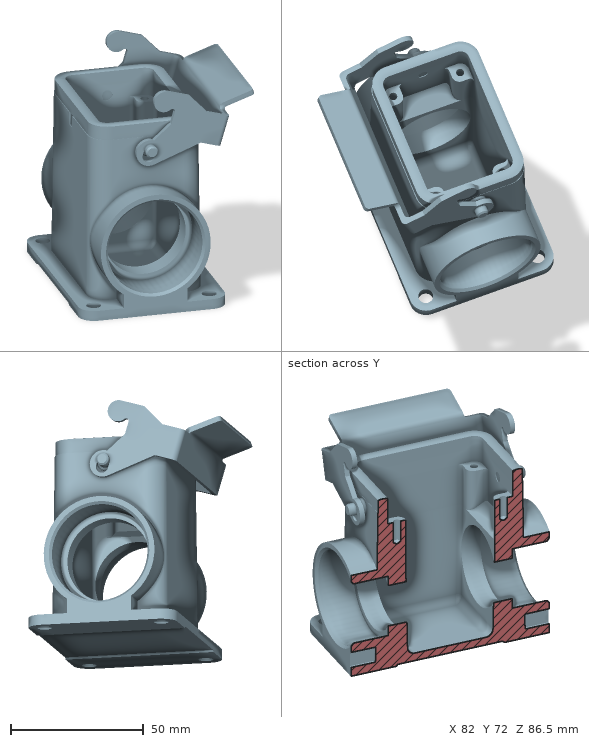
import cadquery as cq
import math

BASE_LENGTH = 82.0
BASE_WIDTH = 57.3
BASE_THICKNESS = 4.0
BASE_CORNER_RADIUS = 6.2
BASE_HOLE_DIAMETER = 5.6
BASE_HOLE_X = 35.0
BASE_HOLE_Y = 22.6
CHANNEL_DEPTH = 0.7
CHANNEL_HALF_LENGTH = 21.6

TOWER_BOTTOM_HALF_X = 31.0
TOWER_BOTTOM_HALF_Y = 22.2
TOWER_TOP_HALF_X = 29.9
TOWER_TOP_HALF_Y = 21.55
NECK_HALF_X = 29.85
NECK_HALF_Y = 21.3
NECK_Z = 67.9
RIM_TOP_Z = 73.6
RIM_CROWN_HEIGHT = 0.35
RIM_EDGE_Z = RIM_TOP_Z - RIM_CROWN_HEIGHT
OUTER_CORNER_RADIUS = 7.5
RIM_WALL = 4.1

KEY_WIDTH = 3.5
KEY_HEIGHT = 4.7
KEY_DEPTH = 1.0

MOUTH_HALF_X = NECK_HALF_X - RIM_WALL
MOUTH_HALF_Y = NECK_HALF_Y - RIM_WALL
MOUTH_DRAFT = 0.1
MOUTH_CORNER_RADIUS = OUTER_CORNER_RADIUS - RIM_WALL
FUNNEL_TOP_Z = 48.9
FUNNEL_BOTTOM_Z = 45.1
CAVITY_TOP_HALF_X = 18.35
CAVITY_BOTTOM_HALF_X = 17.5
CAVITY_BOTTOM_HALF_Y = 16.5
CAVITY_FLOOR_RADIUS = 2.9
CAVITY_FLOOR_Z = 4.15

POST_TOP_Z = 62.4
POST_INNER_Y = 9.95
POST_NOSE_RADIUS = 2.9
POST_ROOT_RADIUS = 1.5
POST_HOLE_DIAMETER = 3.0
POST_HOLE_DEPTH = 8.65
POST_HOLE_X = 22.0
POST_HOLE_Y = 13.5
DRILL_POINT_ANGLE = 118.0

COLLAR_Z = 26.9
COLLAR_DIAMETER = 42.9
COLLAR_MOUTH_DIAMETER = 38.9
COLLAR_SOCKET_DIAMETER = 37.0
COLLAR_BORE_DIAMETER = 32.0
COLLAR_CHAMFER_LENGTH = 1.0
WEB_HALF_WIDTH = 12.5

PIVOT_Z = 63.7
PIVOT_DIAMETER = 4.8
PIVOT_END_X = 36.4
PIVOT_CHAMFER = 0.6
BOSS_DIAMETER = 7.0
BOSS_END_X = 31.1
BOSS_CHAMFER = 0.4
DIMPLE_DIAMETER = 4.0
DIMPLE_DEPTH = 0.2

SHEET = 2.0
LATCH_TILT = 16.5
ARM_OUTER_X = 33.6
ARM_INNER_X = ARM_OUTER_X - SHEET
SLOT_LENGTH = 2.5
EYE_V = -SLOT_LENGTH / 2
EYE_RADIUS = 5.1
HOOK_V = 19.55
HOOK_RADIUS = 4.1
HOOK_TOP_V = HOOK_V + HOOK_RADIUS
HOOK_THROAT_U = 5.1
HOOK_THROAT_RADIUS = 1.0
THROAT_BOTTOM_V = 11.6
EYE_CORNER_V = 3.5
SHOULDER_LOW_U = 18.1
SHOULDER_HIGH_U = 9.35
HEEL_U = 18.6
PLATE_BOTTOM_V = 6.5
PLATE_TOP_V = 18.6
PLATE_OUTER_U = 27.1
PLATE_INNER_U = PLATE_OUTER_U - SHEET
LATCH_BEND_RADIUS = 1.9

TAB_HALF_WIDTH = 25.1
TAB_ANGLE = 35.2
TAB_ROOT_V = 20.4
TAB_LENGTH = 13.6
TAB_TIP_RADIUS = 1.5
TAB_BEND_INNER_RADIUS = 0.9
TAB_BEND_OUTER_RADIUS = 2.3
RELIEF_RADIUS = 1.65

SIDES = (-1, 1)


def rounded_block(half_x, half_y, radius, z_low, z_high):
    """Upright block with rounded vertical edges, centred on the Z axis."""
    block = cq.Workplane("XY", origin=(0, 0, z_low)).rect(2 * half_x, 2 * half_y).extrude(z_high - z_low)
    return block.edges("|Z").fillet(radius)


def taper(low, high, z_low, z_high):
    """Block that tapers between two rectangles, each given as (half X, half Y)."""
    size_x = 2 * low[0]
    size_y = 2 * low[1]
    inset_x = low[0] - high[0]
    inset_y = low[1] - high[1]
    wedge = cq.Solid.makeWedge(
        size_x, z_high - z_low, size_y, inset_x, inset_y, size_x - inset_x, size_y - inset_y
    )
    upright = cq.Workplane(wedge).rotate((0, 0, 0), (1, 0, 0), 90)
    return upright.translate((-low[0], low[1], z_low))


def rounded_taper(low, high, radius, z_low, z_high):
    """Tapered block with its four rising edges rounded."""
    return taper(low, high, z_low, z_high).edges("not #Z").fillet(radius)


def x_cylinder(diameter, x_start, x_end, z):
    """Cylinder along X."""
    return cq.Workplane("YZ", origin=(x_start, 0, z)).circle(diameter / 2).extrude(x_end - x_start)


def base_flange():
    base = rounded_block(BASE_LENGTH / 2, BASE_WIDTH / 2, BASE_CORNER_RADIUS, 0, BASE_THICKNESS)
    holes = cq.Workplane("XY").rect(2 * BASE_HOLE_X, 2 * BASE_HOLE_Y, forConstruction=True).vertices()
    return base.cut(holes.circle(BASE_HOLE_DIAMETER / 2).extrude(BASE_THICKNESS))


def base_channel():
    """Shallow channel with bevelled sides, running along Y under the base."""
    mouth = CHANNEL_HALF_LENGTH + CHANNEL_DEPTH
    outline = [
        (-mouth, 0),
        (-CHANNEL_HALF_LENGTH, CHANNEL_DEPTH),
        (CHANNEL_HALF_LENGTH, CHANNEL_DEPTH),
        (mouth, 0),
    ]
    return cq.Workplane("XZ").polyline(outline).close().extrude(BASE_WIDTH / 2, both=True)


def tower():
    low = (TOWER_BOTTOM_HALF_X, TOWER_BOTTOM_HALF_Y)
    high = (TOWER_TOP_HALF_X, TOWER_TOP_HALF_Y)
    body = rounded_taper(low, high, OUTER_CORNER_RADIUS, BASE_THICKNESS, NECK_Z)
    neck = rounded_block(NECK_HALF_X, NECK_HALF_Y, OUTER_CORNER_RADIUS, NECK_Z, RIM_EDGE_Z)
    return body.union(neck)


def rim_crown():
    """Low rounded crown that runs around the top of the neck wall."""
    path_x = NECK_HALF_X - RIM_WALL / 2
    path_y = NECK_HALF_Y - RIM_WALL / 2
    path_radius = OUTER_CORNER_RADIUS - RIM_WALL / 2
    corner_x = path_x - path_radius
    corner_y = path_y - path_radius
    path = (
        cq.Workplane("XY", origin=(0, 0, RIM_EDGE_Z))
        .moveTo(path_x, 0)
        .lineTo(path_x, corner_y)
        .tangentArcPoint((corner_x, path_y), relative=False)
        .lineTo(-corner_x, path_y)
        .tangentArcPoint((-path_x, corner_y), relative=False)
        .lineTo(-path_x, -corner_y)
        .tangentArcPoint((-corner_x, -path_y), relative=False)
        .lineTo(corner_x, -path_y)
        .tangentArcPoint((path_x, -corner_y), relative=False)
        .close()
    )
    profile = (
        cq.Workplane("XZ")
        .moveTo(NECK_HALF_X, RIM_EDGE_Z)
        .threePointArc((path_x, RIM_TOP_Z), (MOUTH_HALF_X, RIM_EDGE_Z))
        .close()
    )
    return profile.sweep(path)


def key_slot():
    """Block that cuts the keying slot and reaches out past the tower's front face."""
    back_y = -TOWER_TOP_HALF_Y + KEY_DEPTH
    reach = BASE_WIDTH / 2 + back_y
    slot = cq.Workplane("XY").box(KEY_WIDTH, reach, KEY_HEIGHT, centered=(True, False, False))
    return slot.translate((0, -BASE_WIDTH / 2, NECK_Z - KEY_HEIGHT))


def collars():
    """Both cable-entry collars as one tube blank, with the webs that carry them on the base."""
    half_length = BASE_LENGTH / 2
    tube = x_cylinder(COLLAR_DIAMETER, -half_length, half_length, COLLAR_Z)
    web = cq.Workplane("XY").box(BASE_LENGTH, 2 * WEB_HALF_WIDTH, COLLAR_Z - BASE_THICKNESS)
    return tube.union(web.translate((0, 0, (COLLAR_Z + BASE_THICKNESS) / 2)))


def collar_bore():
    """Bore along X: a chamfered socket in each collar, narrowing to the cable passage."""
    half_length = BASE_LENGTH / 2
    mouth_radius = COLLAR_MOUTH_DIAMETER / 2
    socket_radius = COLLAR_SOCKET_DIAMETER / 2
    bore_radius = COLLAR_BORE_DIAMETER / 2
    chamfer_x = half_length - COLLAR_CHAMFER_LENGTH
    outline = [(-half_length, 0), (-half_length, mouth_radius), (-chamfer_x, socket_radius)]
    outline += [(-MOUTH_HALF_X, socket_radius), (-MOUTH_HALF_X, bore_radius)]
    outline += [(-x, radius) for x, radius in reversed(outline)]
    bore = cq.Workplane("XZ").polyline(outline).close().revolve(360, (0, 0, 0), (1, 0, 0))
    return bore.translate((0, 0, COLLAR_Z))


def mouth():
    """Opening inside the neck; its walls lean in a little from the neck line down to the post tops."""
    high = (MOUTH_HALF_X, MOUTH_HALF_Y)
    low = (MOUTH_HALF_X - MOUTH_DRAFT, MOUTH_HALF_Y - MOUTH_DRAFT)
    leaning = rounded_taper(low, high, MOUTH_CORNER_RADIUS, POST_TOP_Z, NECK_Z)
    return leaning.union(rounded_block(*high, MOUTH_CORNER_RADIUS, NECK_Z, RIM_TOP_Z))


def space_between_posts():
    """Cross-shaped space that leaves the corner posts, with sloping funnel floors at its X ends."""
    end_x = MOUTH_HALF_X - MOUTH_DRAFT
    end_y = MOUTH_HALF_Y - MOUTH_DRAFT
    height = POST_TOP_Z - FUNNEL_BOTTOM_Z
    section = (
        cq.Sketch()
        .rect(2 * end_x, 2 * POST_INNER_Y)
        .rect(2 * CAVITY_TOP_HALF_X, 2 * end_y)
        .clean()
    )
    space = cq.Workplane("XY", origin=(0, 0, FUNNEL_BOTTOM_Z)).placeSketch(section).extrude(height)
    middle_z = FUNNEL_BOTTOM_Z + height / 2
    box_x = CAVITY_TOP_HALF_X + POST_ROOT_RADIUS
    box_y = POST_INNER_Y + POST_ROOT_RADIUS
    post_noses = cq.selectors.BoxSelector(
        (-box_x, -box_y, middle_z - POST_ROOT_RADIUS),
        (box_x, box_y, middle_z + POST_ROOT_RADIUS),
    )
    space = space.edges("|Z").edges(post_noses).fillet(POST_NOSE_RADIUS)
    for end in (">X", "<X", ">Y", "<Y"):
        space = space.faces(end).edges("|Z").fillet(POST_ROOT_RADIUS)
    for side in SIDES:
        slope = [
            (side * CAVITY_TOP_HALF_X, FUNNEL_BOTTOM_Z),
            (side * end_x, FUNNEL_BOTTOM_Z),
            (side * end_x, FUNNEL_TOP_Z),
        ]
        wedge = cq.Workplane("XZ").polyline(slope).close().extrude(MOUTH_HALF_Y, both=True)
        space = space.cut(wedge)
    return space


def lower_cavity():
    low = (CAVITY_BOTTOM_HALF_X, CAVITY_BOTTOM_HALF_Y)
    high = (CAVITY_TOP_HALF_X, MOUTH_HALF_Y - MOUTH_DRAFT)
    cavity = taper(low, high, CAVITY_FLOOR_Z, FUNNEL_BOTTOM_Z)
    cavity = cavity.faces("<Z").edges().fillet(CAVITY_FLOOR_RADIUS)
    return cavity.edges("not(#Z or |X or |Y)").fillet(POST_ROOT_RADIUS)


def post_holes():
    """Blind screw holes with a drill point, one in each corner post."""
    radius = POST_HOLE_DIAMETER / 2
    point_depth = POST_HOLE_DEPTH + radius / math.tan(math.radians(DRILL_POINT_ANGLE / 2))
    outline = [(0, 0), (radius, 0), (radius, -POST_HOLE_DEPTH), (0, -point_depth)]
    hole = cq.Workplane("XZ").polyline(outline).close().revolve(360, (0, 0, 0), (0, 1, 0)).val()
    places = cq.Workplane("XY", origin=(0, 0, POST_TOP_Z))
    places = places.rect(2 * POST_HOLE_X, 2 * POST_HOLE_Y, forConstruction=True).vertices()
    return places.eachpoint(lambda place: hole.moved(place))


def pivots():
    """Latch pivot and its boss on each side of the tower, starting inside the tower wall."""
    start_x = (MOUTH_HALF_X + NECK_HALF_X) / 2
    boss = x_cylinder(BOSS_DIAMETER, start_x, BOSS_END_X, PIVOT_Z).faces(">X").chamfer(BOSS_CHAMFER)
    pin = x_cylinder(PIVOT_DIAMETER, start_x, PIVOT_END_X, PIVOT_Z).faces(">X").chamfer(PIVOT_CHAMFER)
    pivot = boss.union(pin)
    return pivot.union(pivot.mirror("YZ"))


def pivot_dimples():
    """Shallow round dimples in the mouth's walls, opposite the pivots."""
    reach = MOUTH_HALF_X + DIMPLE_DEPTH
    return x_cylinder(DIMPLE_DIAMETER, -reach, reach, PIVOT_Z)


def build_housing():
    body = base_flange().union(tower()).union(collars()).union(rim_crown()).union(pivots())
    cuts = [base_channel(), key_slot(), mouth(), space_between_posts(), lower_cavity()]
    cuts += [collar_bore(), post_holes(), pivot_dimples()]
    for cut in cuts:
        body = body.cut(cut)
    return body


def arm_blank():
    """Hook, eye and back end of an arm as a flat plate filling the latch's whole width."""
    width = 2 * ARM_OUTER_X
    plane = cq.Workplane("YZ", origin=(-ARM_OUTER_X, 0, 0))

    heel_v = PLATE_BOTTOM_V - EYE_V
    heel_distance = math.hypot(HEEL_U, heel_v)
    tangent_angle = math.atan2(heel_v, HEEL_U) - math.acos(EYE_RADIUS / heel_distance)
    tangent_u = EYE_RADIUS * math.cos(tangent_angle)
    tangent_v = EYE_V + EYE_RADIUS * math.sin(tangent_angle)

    throat_u = HOOK_THROAT_U - HOOK_THROAT_RADIUS
    centre_distance = HOOK_RADIUS + HOOK_THROAT_RADIUS
    throat_v = HOOK_V - math.sqrt(centre_distance**2 - throat_u**2)
    touch_u = throat_u * HOOK_RADIUS / centre_distance
    touch_v = HOOK_V + (throat_v - HOOK_V) * HOOK_RADIUS / centre_distance
    diagonal = HOOK_THROAT_RADIUS / math.sqrt(2)

    plate = (
        plane.moveTo(0, HOOK_TOP_V)
        .threePointArc((-HOOK_RADIUS, HOOK_V), (touch_u, touch_v))
        .threePointArc((throat_u + diagonal, throat_v + diagonal), (HOOK_THROAT_U, throat_v))
        .lineTo(HOOK_THROAT_U, THROAT_BOTTOM_V)
        .lineTo(0, EYE_CORNER_V)
        .lineTo(tangent_u, tangent_v)
        .lineTo(HEEL_U, PLATE_BOTTOM_V)
        .lineTo(PLATE_OUTER_U, PLATE_BOTTOM_V)
        .lineTo(PLATE_OUTER_U, PLATE_TOP_V)
        .lineTo(SHOULDER_LOW_U, PLATE_TOP_V)
        .lineTo(SHOULDER_HIGH_U, HOOK_TOP_V)
        .close()
        .extrude(width)
    )
    eye = plane.center(0, EYE_V).circle(EYE_RADIUS).extrude(width)
    return plate.union(eye)


def pivot_slot():
    """Upright slot through both arms; its top end bears on the pivots."""
    slot = cq.Workplane("YZ", origin=(-ARM_OUTER_X, 0, 0)).center(0, EYE_V)
    return slot.slot2D(SLOT_LENGTH + PIVOT_DIAMETER, PIVOT_DIAMETER, 90).extrude(2 * ARM_OUTER_X)


def u_bend_prism():
    """U shape of the two arms and the back plate seen from above, far taller than the latch."""
    front_u = -2 * EYE_RADIUS
    height = 2 * HOOK_TOP_V
    outer = cq.Workplane("XY", origin=(0, front_u, 0))
    outer = outer.box(2 * ARM_OUTER_X, PLATE_OUTER_U - front_u, height, centered=(True, False, True))
    inner = cq.Workplane("XY", origin=(0, front_u, 0))
    inner = inner.box(2 * ARM_INNER_X, PLATE_INNER_U - front_u, height, centered=(True, False, True))
    outer = outer.faces(">Y").edges("|Z").fillet(LATCH_BEND_RADIUS)
    inner = inner.faces(">Y").edges("|Z").fillet(LATCH_BEND_RADIUS)
    return outer.cut(inner)


def thumb_tab():
    """Sheet that rises from the back plate, bends outward and ends in a rounded tip."""
    along_u = math.cos(math.radians(TAB_ANGLE))
    along_v = math.sin(math.radians(TAB_ANGLE))
    root_drop = SHEET * math.tan((math.pi / 2 - math.radians(TAB_ANGLE)) / 2)
    tip_u = PLATE_INNER_U + TAB_LENGTH * along_u
    tip_v = TAB_ROOT_V + TAB_LENGTH * along_v
    outline = [
        (PLATE_INNER_U, PLATE_TOP_V - SHEET),
        (PLATE_INNER_U, TAB_ROOT_V),
        (tip_u, tip_v),
        (tip_u + SHEET * along_v, tip_v - SHEET * along_u),
        (PLATE_OUTER_U, TAB_ROOT_V - root_drop),
        (PLATE_OUTER_U, PLATE_TOP_V - SHEET),
    ]
    tab = cq.Workplane("YZ").polyline(outline).close().extrude(TAB_HALF_WIDTH, both=True)
    for (u, v), radius in ((outline[1], TAB_BEND_OUTER_RADIUS), (outline[4], TAB_BEND_INNER_RADIUS)):
        tab = tab.edges(cq.selectors.NearestToPointSelector((0, u, v))).fillet(radius)
    for side in SIDES:
        corner = (side * TAB_HALF_WIDTH, tip_u + SHEET * along_v / 2, tip_v - SHEET * along_u / 2)
        tab = tab.edges(cq.selectors.NearestToPointSelector(corner)).fillet(TAB_TIP_RADIUS)
    return tab


def tab_reliefs():
    """Concave rounds in the back plate's top edge, one at each side of the tab's root."""
    blend = (
        cq.Workplane("XZ", origin=(0, PLATE_OUTER_U, 0))
        .moveTo(TAB_HALF_WIDTH, PLATE_TOP_V)
        .lineTo(TAB_HALF_WIDTH + RELIEF_RADIUS, PLATE_TOP_V)
        .radiusArc((TAB_HALF_WIDTH, PLATE_TOP_V + RELIEF_RADIUS), RELIEF_RADIUS)
        .close()
        .extrude(SHEET)
    )
    return blend.union(blend.mirror("YZ"))


def build_latch():
    latch = arm_blank().intersect(u_bend_prism()).cut(pivot_slot())
    latch = latch.union(thumb_tab()).union(tab_reliefs())
    return latch.rotate((0, 0, 0), (1, 0, 0), -LATCH_TILT).translate((0, 0, PIVOT_Z))


housing = build_housing()
latch = build_latch()
result = cq.Compound.makeCompound([housing.solids().val(), latch.solids().val()])